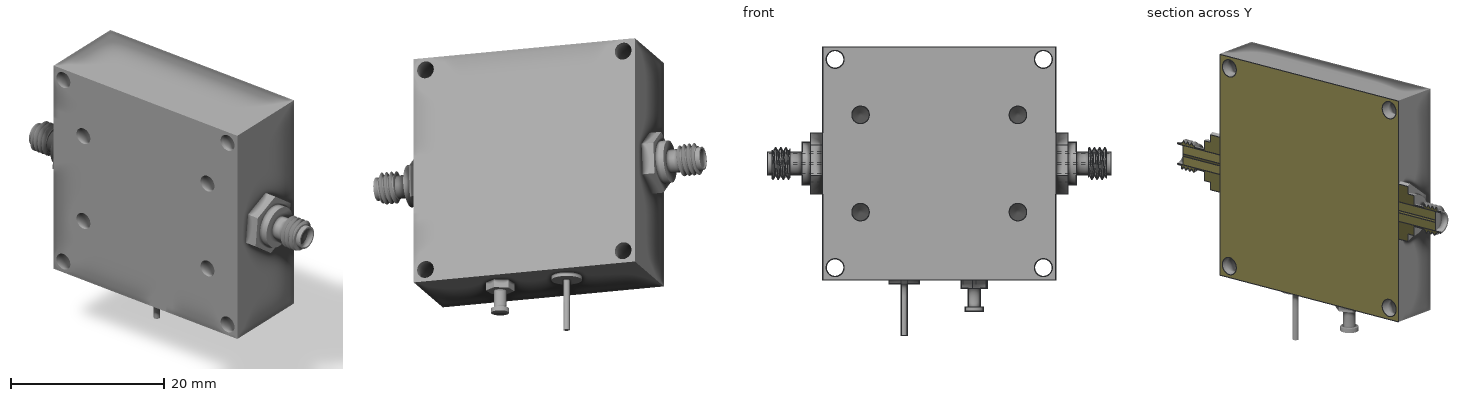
import cadquery as cq
import math

housing_side = 30.45
housing_depth = 12.05
middle_z = housing_side / 2
front_y = -housing_depth / 2

hole_diameter = 2.3
mounting_hole_inset = 1.6
mounting_hole_spacing = housing_side - 2 * mounting_hole_inset
blind_hole_spacing_x = 20.57
blind_hole_spacing_z = 12.7
blind_hole_depth = 4.5
drill_point_angle = 118.0

overall_length = 44.9
connector_length = (overall_length - housing_side) / 2
connector_y = -0.5
right_connector_roll = -133.4
hex_turn = 6.7
shell_hex_flats = 7.0
shell_hex_length = 1.6
collar_radius = 2.8
collar_length = 1.1
barrel_radius = 1.53
bore_radius = 1.3
bore_depth = 0.9
contact_radius = 0.112

thread_setback = 0.65
thread_length = 2.35
thread_pitch = 0.67
thread_root_radius = 1.65
thread_crest_radius = 2.1
thread_flank_angle = 30.0
thread_phase = 70.0
ridge_embed = 0.05

terminal_x = 4.6
terminal_y = 2.25
bead_diameter = 4.0
bead_thickness = 0.5
pin_diameter = 0.8
pin_length = 7.28
turret_hex_flats = 3.25
turret_hex_height = 1.1
turret_post_diameter = 1.6
turret_rim_diameter = 2.4
turret_rim_height = 0.6
turret_height = 4.1


def hexagon_corner_diameter(across_flats):
    return across_flats / math.cos(math.radians(30))


def make_housing():
    front_plane = cq.Plane(origin=(0, front_y, middle_z), xDir=(1, 0, 0), normal=(0, -1, 0))
    block = cq.Workplane(front_plane).rect(housing_side, housing_side).extrude(-housing_depth)
    mounting_holes = (
        cq.Workplane(front_plane)
        .rarray(mounting_hole_spacing, mounting_hole_spacing, 2, 2)
        .circle(hole_diameter / 2)
        .extrude(-housing_depth)
    )
    drilled = block.cut(mounting_holes)
    for x in (-blind_hole_spacing_x / 2, blind_hole_spacing_x / 2):
        for z in (middle_z - blind_hole_spacing_z / 2, middle_z + blind_hole_spacing_z / 2):
            drilled = drilled.cut(make_drill().translate((x, front_y, z)))
    return drilled


def make_drill():
    """Tool for one blind hole along +Y from Y = 0, with a conical point."""
    radius = hole_diameter / 2
    tip_y = blind_hole_depth + radius / math.tan(math.radians(drill_point_angle / 2))
    return (
        cq.Workplane("XY")
        .polyline([(0, 0), (radius, 0), (radius, blind_hole_depth), (0, tip_y)])
        .close()
        .revolve(360, (0, 0, 0), (0, 1, 0))
    )


def make_thread():
    """Right-hand V thread along +Z from Z = 0, cut off square at both ends."""
    base_radius = thread_root_radius - ridge_embed
    half_base = (thread_crest_radius - base_radius) * math.tan(math.radians(thread_flank_angle))
    helix = cq.Wire.makeHelix(thread_pitch, thread_length + 2 * thread_pitch, base_radius)
    ridge = (
        cq.Workplane("XZ")
        .polyline([(base_radius, -half_base), (thread_crest_radius, 0), (base_radius, half_base)])
        .close()
        .sweep(cq.Workplane(helix), isFrenet=True)
        .rotate((0, 0, 0), (0, 0, 1), thread_phase)
        .translate((0, 0, -thread_pitch))
    )
    core_overrun = 2 * thread_pitch
    core = (
        cq.Workplane("XY", origin=(0, 0, -core_overrun))
        .circle(thread_root_radius)
        .extrude(thread_length + 2 * core_overrun)
    )
    envelope = cq.Workplane("XY").circle(2 * thread_crest_radius).extrude(thread_length)
    return core.union(ridge).intersect(envelope)


def make_shell():
    """Connector shell along +Z, with its hexagon resting on Z = 0."""
    hexagon = (
        cq.Workplane("XY")
        .transformed(rotate=(0, 0, hex_turn))
        .polygon(6, hexagon_corner_diameter(shell_hex_flats))
        .extrude(shell_hex_length)
    )
    collar = cq.Workplane("XY").circle(collar_radius).extrude(shell_hex_length + collar_length)
    barrel = cq.Workplane("XY").circle(barrel_radius).extrude(connector_length)
    thread_start = connector_length - thread_setback - thread_length
    thread = make_thread().translate((0, 0, thread_start))
    bore = cq.Workplane("XY").circle(bore_radius).extrude(connector_length)
    return hexagon.union(collar).union(barrel).union(thread).cut(bore)


def make_insulator():
    """Plug that fills the shell up to the floor of the open bore."""
    plug_length = connector_length - bore_depth
    return cq.Workplane("XY").circle(bore_radius).circle(contact_radius).extrude(plug_length)


def make_contact():
    """Centre conductor, flush with the face of the insulator."""
    return cq.Workplane("XY").circle(contact_radius).extrude(connector_length - bore_depth)


def place_connector_part(part, side):
    """Turn a part from +Z to point outward on the given X side (-1 or +1)."""
    wall = cq.Plane(
        origin=(side * housing_side / 2, connector_y, middle_z), xDir=(0, 0, 1), normal=(side, 0, 0)
    )
    roll = right_connector_roll if side > 0 else 0
    rolled = part.rotate((0, 0, 0), (0, 0, 1), roll)
    return rolled.val().moved(cq.Location(wall))


def cylinder_below(x, diameter, top, bottom):
    """Upright cylinder between two depths below the housing."""
    return (
        cq.Workplane("XY", origin=(x, terminal_y, -bottom)).circle(diameter / 2).extrude(bottom - top)
    )


def make_bead():
    """Disc around the feedthrough pin."""
    bead = cylinder_below(-terminal_x, bead_diameter, 0, bead_thickness)
    return bead.cut(make_pin())


def make_pin():
    return cylinder_below(-terminal_x, pin_diameter, 0, pin_length)


def make_turret():
    """Ground terminal: a hexagon base, a post and an end rim."""
    base = (
        cq.Workplane("XY", origin=(terminal_x, terminal_y, -turret_hex_height))
        .transformed(rotate=(0, 0, 90 - hex_turn))
        .polygon(6, hexagon_corner_diameter(turret_hex_flats))
        .extrude(turret_hex_height)
    )
    post = cylinder_below(terminal_x, turret_post_diameter, 0, turret_height)
    rim = cylinder_below(
        terminal_x, turret_rim_diameter, turret_height - turret_rim_height, turret_height
    )
    return base.union(post).union(rim)


housing = make_housing()
bead = make_bead()
pin = make_pin()
turret = make_turret()

shells = []
insulators = []
contacts = []
for side in (-1, 1):
    shells.append(place_connector_part(make_shell(), side))
    insulators.append(place_connector_part(make_insulator(), side))
    contacts.append(place_connector_part(make_contact(), side))

result = cq.Compound.makeCompound(
    [housing.val(), bead.val(), pin.val(), turret.val(), *shells, *insulators, *contacts]
)